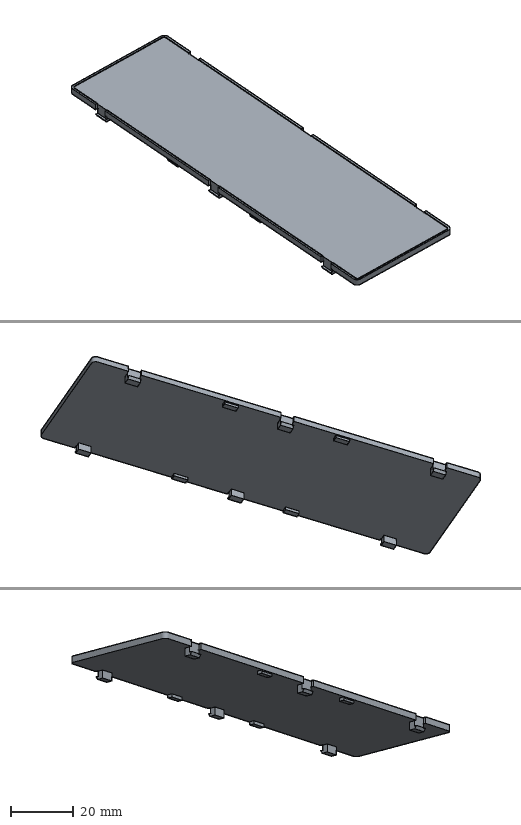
import cadquery as cq

LENGTH = 137.49
WIDTH = 41.28
HEIGHT = 4.9

PLATE_THICKNESS = 2.2
CORNER_RADIUS = 1.5
RIM_WIDTH_SIDES = 0.85
RIM_WIDTH_ENDS = 0.75
PANEL_CORNER_RADIUS = CORNER_RADIUS - RIM_WIDTH_SIDES
PANEL_DEPTH = 0.25

CLIP_POSITIONS = (-54.0, 0.0, 54.0)
CLIP_WIDTH = 4.4
CLIP_THICKNESS = 2.0
NOTCH_WIDTH = 4.65
HOOK_LEDGE_Z = -3.9
HOOK_BOTTOM_SETBACK = 0.65

BUMP_POSITIONS = (-19.7, 19.7)
BUMP_LENGTH = 4.8
BUMP_INSET = 0.15
BUMP_THICKNESS = 2.0
BUMP_SHOULDER_Z = -2.6
BUMP_BOTTOM_Z = -3.3
BUMP_BOTTOM_SETBACK = 0.25

HALF_WIDTH = WIDTH / 2
CLIP_FACE_Y = HALF_WIDTH - RIM_WIDTH_SIDES


def make_plate():
    """Rounded plate with a shallow panel recess inside its rim."""
    plate = (
        cq.Workplane("XY", origin=(0, 0, -PLATE_THICKNESS))
        .rect(LENGTH, WIDTH)
        .extrude(PLATE_THICKNESS)
        .edges("|Z")
        .fillet(CORNER_RADIUS)
    )
    recess = (
        cq.Workplane("XY", origin=(0, 0, -PANEL_DEPTH))
        .rect(LENGTH - 2 * RIM_WIDTH_ENDS, WIDTH - 2 * RIM_WIDTH_SIDES)
        .extrude(PANEL_DEPTH)
        .edges("|Z")
        .fillet(PANEL_CORNER_RADIUS)
    )
    return plate.cut(recess)


def make_notch(x):
    """Cutter that opens the rim above a clip on the +Y side."""
    return (
        cq.Workplane("XY", origin=(x, CLIP_FACE_Y + RIM_WIDTH_SIDES / 2, -PLATE_THICKNESS))
        .rect(NOTCH_WIDTH, RIM_WIDTH_SIDES)
        .extrude(PLATE_THICKNESS)
    )


def extrude_along_x(profile, x, length):
    """Extrude a closed Y-Z profile along X, centred on x."""
    return (
        cq.Workplane("YZ", origin=(x - length / 2, 0, 0))
        .polyline(profile)
        .close()
        .extrude(length)
    )


def make_clip(x):
    """Clip on the +Y side: a stem with an outward hook that tapers to its foot."""
    stem_inner_y = CLIP_FACE_Y - CLIP_THICKNESS
    stem_top_z = -PLATE_THICKNESS / 2
    profile = [
        (stem_inner_y, stem_top_z),
        (CLIP_FACE_Y, stem_top_z),
        (CLIP_FACE_Y, HOOK_LEDGE_Z),
        (HALF_WIDTH, HOOK_LEDGE_Z),
        (HALF_WIDTH - HOOK_BOTTOM_SETBACK, -HEIGHT),
        (stem_inner_y, -HEIGHT),
    ]
    return extrude_along_x(profile, x, CLIP_WIDTH)


def make_bump(x):
    """Bump on the +Y side, set just inside the plate edge and tapered below its shoulder."""
    outer_y = HALF_WIDTH - BUMP_INSET
    inner_y = outer_y - BUMP_THICKNESS
    top_z = -PLATE_THICKNESS / 2
    profile = [
        (inner_y, top_z),
        (outer_y, top_z),
        (outer_y, BUMP_SHOULDER_Z),
        (outer_y - BUMP_BOTTOM_SETBACK, BUMP_BOTTOM_Z),
        (inner_y, BUMP_BOTTOM_Z),
    ]
    return extrude_along_x(profile, x, BUMP_LENGTH)


def on_both_sides(feature):
    """Return a +Y feature together with its mirror image on the -Y side."""
    return feature.union(feature.mirror("XZ"))


result = make_plate()
for clip_x in CLIP_POSITIONS:
    result = result.cut(on_both_sides(make_notch(clip_x)))
    result = result.union(on_both_sides(make_clip(clip_x)))
for bump_x in BUMP_POSITIONS:
    result = result.union(on_both_sides(make_bump(bump_x)))